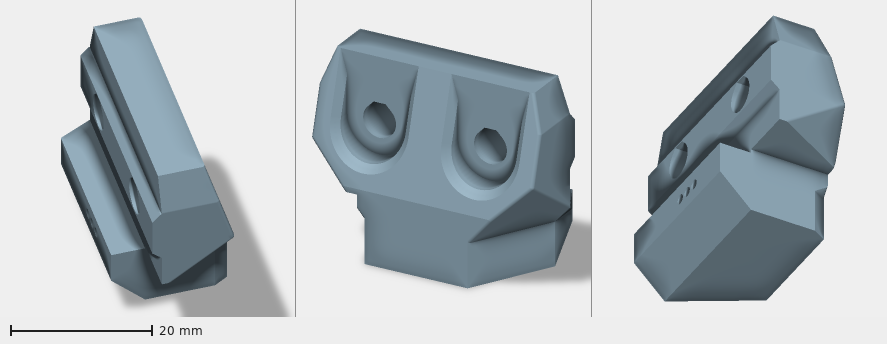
import cadquery as cq
import math


length = 36
half_length = length / 2
height = 30.0
body_depth = 12.5
back_bend_height = 11.45
back_lean = 5.5
shoulder_height = 24.45
shoulder_inset = 1.95
edge_radius = 0.5
selection_margin = 0.35

undercut_inset = 2.4
undercut_angle = 30
undercut_wall_top = 7.0
undercut_roof_end = 9.8

rail_bottom = 15.75
rail_top = 24.23
rail_projection = 1.4
rail_chamfer = 1.22

lip_top = 10.0
lip_projection = 5.0
lip_left = -half_length + undercut_inset
lip_right = 9.6

notch_height = 10.6

screw_x = 9
screw_height = 20.0
screw_radius = 2.65
screw_roof = 2.8
pocket_radius = 5.25
pocket_floor_y = body_depth - back_lean
pocket_chamfer = 1.08

marker_diameter = 1.5
marker_spacing = 2.0
marker_count = 3
marker_depth = 0.5
marker_height = (lip_top + lip_projection) / 2


def extrude_along_x(points, x_start, x_end):
    """Extrude a (Y, Z) outline from x_start to x_end."""
    outline = cq.Workplane("YZ", origin=(x_start, 0, 0)).polyline(points).close()
    return outline.extrude(x_end - x_start)


def extrude_along_y(points, y_start, y_end):
    """Extrude an (X, Z) outline from y_start back to y_end."""
    outline = cq.Workplane("XZ", origin=(0, y_start, 0)).polyline(points).close()
    return outline.extrude(y_start - y_end)


def mirror_pair(solid):
    """Return the solid joined with its copy on the other side of X = 0."""
    return solid.union(solid.mirror("YZ"))


def leaning_block():
    """Full-length block with the bent back."""
    profile = [
        (0, 0),
        (body_depth, 0),
        (body_depth, back_bend_height),
        (body_depth - back_lean, height),
        (0, height),
    ]
    return extrude_along_x(profile, -half_length, half_length)


def undercut():
    """Left corner cutter: an angled upright wall below a roof that rises outward."""
    angle = math.radians(undercut_angle)
    along = (math.sin(angle), math.cos(angle), 0)
    outward = (-math.cos(angle), math.sin(angle), 0)
    roof_slope = (undercut_roof_end - undercut_wall_top) / (undercut_inset * math.cos(angle))
    reach = body_depth
    profile = [
        (0, -height),
        (0, undercut_wall_top),
        (reach, undercut_wall_top + reach * roof_slope),
        (reach, -height),
    ]
    plane = cq.Plane(origin=(lip_left, 0, 0), xDir=outward, normal=along)
    return cq.Workplane(plane).polyline(profile).close().extrude(length, both=True)


def body():
    """Block with slanted shoulders, undercut corners and rounded rear edges."""
    end_outline = [
        (-half_length, 0),
        (half_length, 0),
        (half_length, shoulder_height),
        (half_length - shoulder_inset, height),
        (-half_length + shoulder_inset, height),
        (-half_length, shoulder_height),
    ]
    block = leaning_block().intersect(extrude_along_y(end_outline, 0, body_depth))
    return block.cut(mirror_pair(undercut()))


def round_rear_edges(block):
    """Round the edges at both ends, from the undercut roofs up to the top face."""
    for side in (-1, 1):
        zone = cq.selectors.BoxSelector(
            (side * selection_margin, selection_margin, undercut_wall_top + selection_margin),
            (side * length, length, height - selection_margin),
        )
        block = block.edges(zone).fillet(edge_radius)
    return block


def rail():
    """Full-length rail with 45 degree chamfers; the upper one leaves a narrow ledge."""
    profile = [
        (0, rail_bottom),
        (-rail_projection, rail_bottom + rail_chamfer),
        (-rail_projection, rail_top - rail_chamfer),
        (rail_chamfer - rail_projection, rail_top),
        (0, rail_top),
    ]
    return extrude_along_x(profile, -half_length, half_length)


def lip():
    """Lip with a 45 degree underside, bounded by the notch and the left corner facets."""
    profile = [
        (0, 0),
        (-lip_projection, lip_projection),
        (-lip_projection, lip_top),
        (0, lip_top),
    ]
    bar = extrude_along_x(profile, -half_length, lip_right)
    end_outline = [
        (lip_left, 0),
        (lip_right, 0),
        (lip_right, lip_top),
        (-half_length, lip_top),
        (-half_length, undercut_roof_end),
        (lip_left, undercut_wall_top),
    ]
    plan_outline = [
        (-half_length, 0),
        (lip_right, 0),
        (lip_right, -lip_projection),
        (lip_left, -lip_projection),
    ]
    plan = cq.Workplane("XY").polyline(plan_outline).close().extrude(lip_top)
    return bar.intersect(extrude_along_y(end_outline, -lip_projection, 0)).intersect(plan)


def notch():
    """Cutter for the missing lower right end of the body."""
    size = (half_length - lip_right, body_depth, notch_height)
    return cq.Workplane("XY").box(*size, centered=False).translate((lip_right, 0, 0))


def screw_hole():
    """Through hole along Y whose top is two 45 degree flanks and a flat."""
    tangent = screw_radius / math.sqrt(2)
    flat_half_width = 2 * tangent - screw_roof
    return (
        cq.Workplane("XZ", origin=(screw_x, body_depth, screw_height))
        .moveTo(-tangent, tangent)
        .threePointArc((0, -screw_radius), (tangent, tangent))
        .lineTo(flat_half_width, screw_roof)
        .lineTo(-flat_half_width, screw_roof)
        .close()
        .extrude(body_depth + rail_projection)
    )


def pocket():
    """Round-bottomed slot with a chamfered rim that runs out at the top of the back."""
    slot = (
        cq.Workplane("XZ", origin=(screw_x, body_depth, screw_height))
        .moveTo(-pocket_radius, height)
        .lineTo(-pocket_radius, 0)
        .threePointArc((0, -pocket_radius), (pocket_radius, 0))
        .lineTo(pocket_radius, height)
        .close()
        .extrude(body_depth)
    )
    block = leaning_block()
    opened = block.cut(slot)
    half_width = pocket_radius + selection_margin
    rim_zone = cq.selectors.BoxSelector(
        (screw_x - half_width, pocket_floor_y, back_bend_height),
        (screw_x + half_width, body_depth, height - selection_margin),
    )
    opened = opened.edges(rim_zone).chamfer(pocket_chamfer)
    behind_floor = cq.Workplane("XY").box(length, back_lean, height, centered=False)
    return block.cut(opened).intersect(behind_floor.translate((0, pocket_floor_y, 0)))


def marker_holes():
    """Row of shallow blind holes in the middle of the lip front."""
    lip_front = cq.Workplane("XZ", origin=(0, -lip_projection, marker_height))
    spots = lip_front.rarray(marker_spacing, 0.35, marker_count, 1)
    return spots.circle(marker_diameter / 2).extrude(-marker_depth)


result = (
    round_rear_edges(body())
    .cut(notch())
    .union(rail())
    .union(lip())
    .cut(mirror_pair(screw_hole()))
    .cut(mirror_pair(pocket()))
    .cut(marker_holes())
)